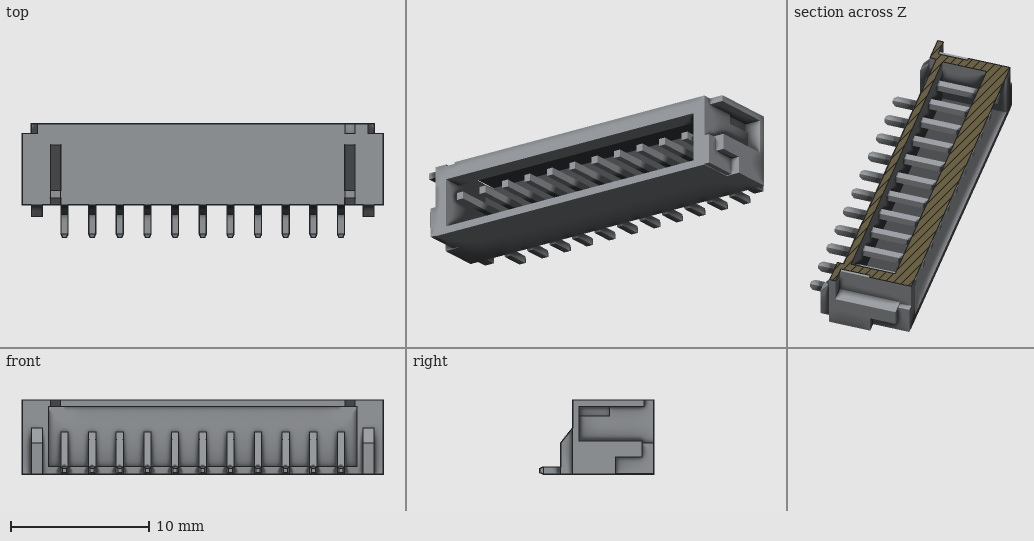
import cadquery as cq


length = 26.15
depth = 5.88
overall_depth = 8.26
height = 5.38
half_length = length / 2
roof_thickness = 0.46
roof_underside = height - roof_thickness

panel_half_width = 11.15
panel_recess = 0.48
panel_thickness = 0.55
panel_bottom = 0.55

cavity_half_width = 11.02
cavity_front = panel_recess + panel_thickness
cavity_floor = panel_bottom
mouth_top = 4.22

slot_outer = cavity_half_width
slot_width = 0.74
slot_inner = slot_outer - slot_width
slot_end = 4.34
notch_depth = 0.13

roof_end = 5.17
side_wall_half = 11.97
rear_step_half = 12.41
rear_step_height = 2.27
rear_step_clearance = 0.05
sill_height = 2.41
sill_end = 5.03
undercut_start = 3.12
undercut_height = 1.24
pocket_end = 2.67
pocket_bottom = mouth_top
pocket_depth = 0.2

tab_width = 0.8
tab_center = 12.0
tab_reach = 0.86
tab_shoulder = 2.27
tab_top = 3.36

pin_count = 11
pin_pitch = 2.0
pin_size = 0.54
pin_width = 0.52
pin_top = 3.06
pin_toe = depth - overall_depth
pin_bend = -0.7
pin_knee = 0.1
contact_end = 5.6
tip_length = 0.26
tip_inset = 0.12


def block(x_range, y_range, z_range):
    """Box spanning the given coordinate ranges."""
    size = [high - low for low, high in (x_range, y_range, z_range)]
    corner = (x_range[0], y_range[0], z_range[0])
    return cq.Workplane("XY").box(*size, centered=False).translate(corner)


def centered_block(half_width, y_range, z_range):
    """Box symmetric about the middle of the row."""
    return block((-half_width, half_width), y_range, z_range)


def on_both_ends(solid):
    """The given solid together with its mirror image at the other end."""
    return solid.union(solid.mirror("YZ"))


def make_end_cuts():
    """Everything removed outside the side wall at the +X end."""
    outside = half_length
    window = block(
        (side_wall_half, outside), (panel_recess, depth), (sill_height, roof_underside)
    )
    roof_corner = block(
        (side_wall_half, outside), (roof_end, depth), (roof_underside, height)
    )
    rear_top = block(
        (side_wall_half, outside), (sill_end, depth), (rear_step_height, sill_height)
    )
    rear_side = block((rear_step_half, outside), (sill_end, depth), (0, sill_height))
    undercut = block(
        (rear_step_half, outside), (undercut_start, depth), (0, undercut_height)
    )
    clearance = block(
        (side_wall_half, outside), (undercut_start, depth), (0, rear_step_clearance)
    )
    pocket = block(
        (side_wall_half - pocket_depth, side_wall_half),
        (panel_recess, pocket_end),
        (pocket_bottom, roof_underside),
    )
    cuts = window
    for cut in (roof_corner, rear_top, rear_side, undercut, clearance, pocket):
        cuts = cuts.union(cut)
    return cuts


def make_housing():
    """Hollow shell, its roof thicker at the mouth, with a recessed panel, roof slots and stepped ends."""
    body = centered_block(half_length, (0, depth), (0, height))
    recess = centered_block(panel_half_width, (0, panel_recess), (panel_bottom, roof_underside))
    cavity = centered_block(
        cavity_half_width, (cavity_front, slot_end), (cavity_floor, roof_underside)
    )
    mouth = centered_block(cavity_half_width, (slot_end, depth), (cavity_floor, mouth_top))
    slot = block((slot_inner, slot_outer), (0, slot_end), (roof_underside, height))
    notch = block((slot_inner, slot_outer), (roof_end, depth), (height - notch_depth, height))
    body = body.cut(recess).cut(cavity).cut(mouth).cut(notch)
    return body.cut(on_both_ends(slot)).cut(on_both_ends(make_end_cuts()))


def make_tab():
    """Solder tab on the front of the +X end, with a sloped top."""
    profile = [(0, 0), (-tab_reach, 0), (-tab_reach, tab_shoulder), (0, tab_top)]
    return (
        cq.Workplane("YZ")
        .polyline(profile)
        .close()
        .extrude(tab_width)
        .translate((tab_center - tab_width / 2, 0, 0))
    )


def make_pin():
    """Bent pin: contact in the cavity, sloped leg, flat foot with a tapered tip."""
    leg_run_per_rise = (pin_knee - pin_bend) / (pin_top - pin_size)
    contact_bottom = pin_top - pin_size
    leg_back_at_board = pin_bend + pin_size - leg_run_per_rise * pin_size
    leg_back_at_contact = leg_back_at_board + leg_run_per_rise * contact_bottom
    profile = [
        (contact_end, pin_top),
        (pin_knee, pin_top),
        (pin_bend, pin_size),
        (pin_toe + tip_length, pin_size),
        (pin_toe + tip_length, 0),
        (leg_back_at_board, 0),
        (leg_back_at_contact, contact_bottom),
        (contact_end, contact_bottom),
    ]
    bar = (
        cq.Workplane("YZ")
        .polyline(profile)
        .close()
        .extrude(pin_width)
        .translate((-pin_width / 2, 0, 0))
    )
    tip = (
        cq.Workplane("XZ", origin=(0, pin_toe + tip_length, pin_size / 2))
        .rect(pin_width, pin_size)
        .workplane(offset=tip_length)
        .rect(pin_width - 2 * tip_inset, pin_size - 2 * tip_inset)
        .loft(combine=True)
    )
    return bar.union(tip)


result = make_housing().union(on_both_ends(make_tab()))
pin = make_pin()
for index in range(pin_count):
    pin_x = (index - (pin_count - 1) / 2) * pin_pitch
    result = result.union(pin.translate((pin_x, 0, 0)))